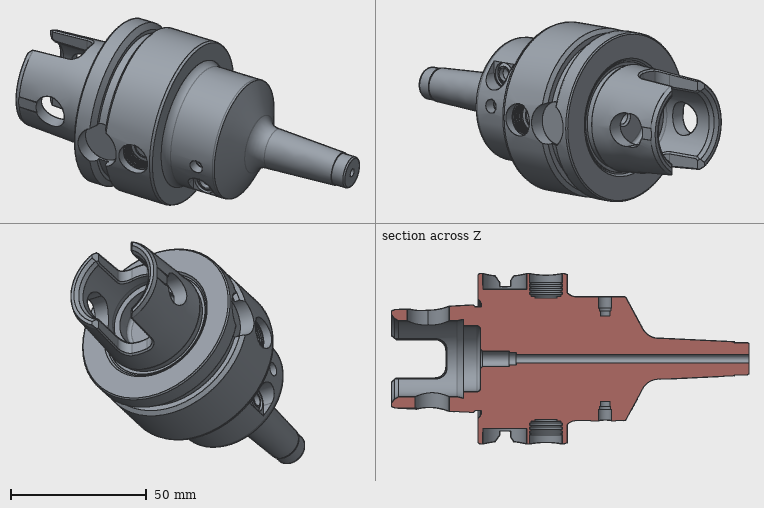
import cadquery as cq
import math

LENGTH = 132.0
FLANGE_RADIUS = 63.0 / 2

SHANK_END_RADIUS = 17.7
SHANK_CHAMFER = 1.7
SHANK_START_RADIUS = 18.3
SHANK_BASE_X = 30.2
SHANK_BASE_RADIUS = 19.9
SHANK_NECK_X = 30.9
SHANK_NECK_RADIUS = 19.3

FLANGE_X = 32.0
FLANGE_END_X = 65.0
FLANGE_CHAMFER = 0.5
FLANGE_END_CHAMFER_X = 1.0
FLANGE_END_CHAMFER_R = 0.4
FACE_GROOVE_DEPTH = 0.8
FACE_GROOVE_RADIUS = 21.3
FACE_RELIEF_DEPTH = 1.2
FACE_RELIEF_RADIUS = 20.6
FACE_GROOVE_RIM_RADIUS = 22.0
GRIP_RADIUS = 27.9
GRIP_START_X = 38.3
GRIP_END_X = 45.1
GRIP_LEFT_BEVEL_X = 1.7
GRIP_LEFT_BEVEL_R = 2.2
GRIP_RIGHT_BEVEL_X = 1.2
GRIP_RIGHT_BEVEL_R = 1.6

BODY_RADIUS = 23.0
BODY_FILLET_RISE = 1.5
BODY_FILLET_LENGTH = 3.2
BODY_END_X = 85.7
BODY_BEVEL_X = 0.8
BODY_BEVEL_R = 0.1

SHOULDER_END_X = 92.8
SHOULDER_END_RADIUS = 11.1
NOSE_START_X = 99.1
NOSE_START_RADIUS = 7.7
NOSE_TIP_X = 126.6
NOSE_END_RADIUS = 6.3
NOSE_TIP_RADIUS = 12.0 / 2
NOSE_CHAMFER_X = 0.7
NOSE_CHAMFER_R = 0.4

BORE_MOUTH_RADIUS = 16.4
BORE_BEVEL_RADIUS = 14.9
BORE_RADIUS = 14.0
BORE_BEVEL_X = 1.0
BORE_START_X = 2.6
UNDERCUT_START_X = 24.3
UNDERCUT_RADIUS = 14.5
BORE_SHOULDER_X = 26.5
POCKET_RADIUS = 12.1
POCKET_FLOOR_X = 32.9
POCKET_CORNER = 1.3

CHANNEL_DIAMETER = 3.0
CHANNEL_THREAD_DIAMETER = 5.5
CHANNEL_THREAD_DEPTH = 10.5
CHANNEL_STEP_DIAMETER = 4.5
CHANNEL_STEP_DEPTH = 13.2
CHANNEL_MOUTH_RADIUS = 3.5

SLOT_HALF_WIDTH = 7.0
SLOT_END_X = 20.0
SLOT_CORNER = 3.8
SLOT_FLARE_X = 1.8
SLOT_FLARE_Y = 1.6
SLOT_OUTER_CHAMFER = 0.7
SLOT_INNER_CHAMFER = 0.5
WALL_TOLERANCE = 1.3

BALL_HOLE_X = 15.0
BALL_HOLE_DIAMETER = 12.5
BALL_HOLE_FAR_SHIFT = 2.9
KEYWAY_WIDTH = 4.5
KEYWAY_FLOOR_Y = 18.2

SEAT_X = 41.8
SEAT_DIAMETER = 16.1
SEAT_FLOOR_Y = 25.7
SIDE_HOLE_X = 57.0
SIDE_HOLE_STEPS = ((12.0, 28.1), (11.0, 23.1), (8.0, 22.5))
SIDE_HOLE_RING_COUNT = 3
SIDE_HOLE_RING_PITCH = 1.5
SIDE_HOLE_RING_WIDTH = 0.8
SIDE_HOLE_RING_DIAMETER = 11.9

SCREW_X = 78.87
SCREW_Z = 12.1
SCREW_POCKET_RADIUS = 5.0
SCREW_POCKET_FLOOR_Y = 15.8
SCREW_HEAD_DIAMETER = 9.0
SCREW_HEAD_TOP_DIAMETER = 6.2
SCREW_HEAD_HEIGHT = 1.3
SCREW_SOCKET_DIAMETER = 5.0
SCREW_SOCKET_DEPTH = 2.1
DRILL_POINT_ANGLE = 118.0
SMALL_HOLE_Z = 1.2
SMALL_HOLE_STEPS = ((5.1, 18.7), (4.6, 17.7), (4.1, 15.8), (2.2, 13.2))


def turned_body():
    """Outer shape as one profile turned about X."""
    blend_radius = (BODY_FILLET_LENGTH**2 + BODY_FILLET_RISE**2) / (2 * BODY_FILLET_RISE)
    profile = (
        cq.Workplane("XY")
        .lineTo(0, SHANK_END_RADIUS)
        .lineTo(SHANK_CHAMFER, SHANK_START_RADIUS)
        .lineTo(SHANK_BASE_X, SHANK_BASE_RADIUS)
        .lineTo(SHANK_NECK_X, SHANK_NECK_RADIUS)
        .lineTo(FLANGE_X + FACE_RELIEF_DEPTH, SHANK_NECK_RADIUS)
        .lineTo(FLANGE_X + FACE_RELIEF_DEPTH, FACE_RELIEF_RADIUS)
        .lineTo(FLANGE_X + FACE_GROOVE_DEPTH, FACE_RELIEF_RADIUS)
        .lineTo(FLANGE_X + FACE_GROOVE_DEPTH, FACE_GROOVE_RADIUS)
        .lineTo(FLANGE_X, FACE_GROOVE_RIM_RADIUS)
        .lineTo(FLANGE_X, FLANGE_RADIUS - FLANGE_CHAMFER)
        .lineTo(FLANGE_X + FLANGE_CHAMFER, FLANGE_RADIUS)
        .lineTo(GRIP_START_X, FLANGE_RADIUS)
        .lineTo(GRIP_START_X + GRIP_LEFT_BEVEL_X, FLANGE_RADIUS - GRIP_LEFT_BEVEL_R)
        .lineTo(GRIP_START_X + GRIP_LEFT_BEVEL_X, GRIP_RADIUS)
        .lineTo(GRIP_END_X - GRIP_RIGHT_BEVEL_X, GRIP_RADIUS)
        .lineTo(GRIP_END_X - GRIP_RIGHT_BEVEL_X, FLANGE_RADIUS - GRIP_RIGHT_BEVEL_R)
        .lineTo(GRIP_END_X, FLANGE_RADIUS)
        .lineTo(FLANGE_END_X - FLANGE_END_CHAMFER_X, FLANGE_RADIUS)
        .lineTo(FLANGE_END_X, FLANGE_RADIUS - FLANGE_END_CHAMFER_R)
        .lineTo(FLANGE_END_X, BODY_RADIUS + BODY_FILLET_RISE)
        .radiusArc((FLANGE_END_X + BODY_FILLET_LENGTH, BODY_RADIUS), -blend_radius)
        .lineTo(BODY_END_X, BODY_RADIUS)
        .lineTo(BODY_END_X + BODY_BEVEL_X, BODY_RADIUS - BODY_BEVEL_R)
        .lineTo(SHOULDER_END_X, SHOULDER_END_RADIUS)
        .tangentArcPoint((NOSE_START_X, NOSE_START_RADIUS), relative=False)
        .lineTo(NOSE_TIP_X, NOSE_END_RADIUS)
        .lineTo(NOSE_TIP_X, NOSE_TIP_RADIUS)
        .lineTo(LENGTH - NOSE_CHAMFER_X, NOSE_TIP_RADIUS)
        .lineTo(LENGTH, NOSE_TIP_RADIUS - NOSE_CHAMFER_R)
        .lineTo(LENGTH, 0)
        .close()
    )
    return profile.revolve(360, (0, 0, 0), (1, 0, 0))


def bore():
    """Stepped bore, threaded coolant entry and the channel through to the nose tip."""
    thread_radius = CHANNEL_THREAD_DIAMETER / 2
    step_radius = CHANNEL_STEP_DIAMETER / 2
    channel_radius = CHANNEL_DIAMETER / 2
    mouth_depth = CHANNEL_MOUTH_RADIUS - thread_radius
    profile = (
        cq.Workplane("XY")
        .lineTo(0, BORE_MOUTH_RADIUS)
        .lineTo(BORE_BEVEL_X, BORE_BEVEL_RADIUS)
        .lineTo(BORE_START_X, BORE_RADIUS)
        .lineTo(UNDERCUT_START_X, BORE_RADIUS)
        .lineTo(BORE_SHOULDER_X, UNDERCUT_RADIUS)
        .lineTo(BORE_SHOULDER_X, POCKET_RADIUS)
        .lineTo(POCKET_FLOOR_X - POCKET_CORNER, POCKET_RADIUS)
        .radiusArc((POCKET_FLOOR_X, POCKET_RADIUS - POCKET_CORNER), POCKET_CORNER)
        .lineTo(POCKET_FLOOR_X, CHANNEL_MOUTH_RADIUS)
        .lineTo(POCKET_FLOOR_X + mouth_depth, thread_radius)
        .lineTo(POCKET_FLOOR_X + CHANNEL_THREAD_DEPTH, thread_radius)
        .lineTo(POCKET_FLOOR_X + CHANNEL_THREAD_DEPTH, step_radius)
        .lineTo(POCKET_FLOOR_X + CHANNEL_STEP_DEPTH, step_radius)
        .lineTo(POCKET_FLOOR_X + CHANNEL_STEP_DEPTH, channel_radius)
        .lineTo(LENGTH, channel_radius)
        .lineTo(LENGTH, 0)
        .close()
    )
    return profile.revolve(360, (0, 0, 0), (1, 0, 0))


def drive_slots():
    """Round-cornered slot crossing both shank walls along Z."""
    blank = cq.Workplane("XY").rect(2 * SLOT_END_X, 2 * SLOT_HALF_WIDTH).extrude(FLANGE_RADIUS, both=True)
    return blank.edges("|Z").fillet(SLOT_CORNER)


def slot_flare():
    """Wedge that bevels the mouth of the drive slots."""
    flare_half_width = SLOT_HALF_WIDTH + SLOT_FLARE_Y
    outline = (
        cq.Workplane("XY")
        .moveTo(0, -flare_half_width)
        .lineTo(SLOT_FLARE_X, -SLOT_HALF_WIDTH)
        .lineTo(SLOT_FLARE_X, SLOT_HALF_WIDTH)
        .lineTo(0, flare_half_width)
        .close()
    )
    return outline.extrude(FLANGE_RADIUS, both=True)


def slot_rim_edges(solid, near_radius):
    """Slot edges lying on the shank wall whose distance from the axis is close to near_radius."""
    edges = []
    for edge in solid.edges().vals():
        middle = edge.positionAt(0.5)
        along = SHANK_CHAMFER < middle.x < SLOT_END_X + SLOT_OUTER_CHAMFER
        across = abs(middle.y) < SLOT_HALF_WIDTH + SLOT_OUTER_CHAMFER
        if along and across and abs(math.hypot(middle.y, middle.z) - near_radius) < WALL_TOLERANCE:
            edges.append(edge)
    return edges


def outward_cylinder(x, z, diameter, floor_y):
    """Cylinder along -Y from floor_y to beyond the flange."""
    plane = cq.Plane((x, -floor_y, z), xDir=(1, 0, 0), normal=(0, -1, 0))
    return cq.Workplane(plane).circle(diameter / 2).extrude(FLANGE_RADIUS)


def keyway():
    """Shallow lengthwise flat from the cross hole to the shank end."""
    flat_plane = cq.Plane((BALL_HOLE_X / 2, -KEYWAY_FLOOR_Y, 0), xDir=(1, 0, 0), normal=(0, -1, 0))
    return cq.Workplane(flat_plane).rect(BALL_HOLE_X, KEYWAY_WIDTH).extrude(FLANGE_RADIUS)


def stepped_hole(x, z, steps):
    """Coaxial cylinders along -Y, each narrower and deeper than the one before."""
    hole = cq.Workplane("XY")
    for diameter, floor_y in steps:
        hole = hole.add(outward_cylinder(x, z, diameter, floor_y))
    return hole.combine()


def side_hole_rings():
    """Thread-like rings in the wall of the stepped side hole."""
    first_floor = SIDE_HOLE_STEPS[0][1]
    rings = cq.Workplane("XY")
    for index in range(SIDE_HOLE_RING_COUNT):
        floor_y = first_floor - (index + 1) * SIDE_HOLE_RING_PITCH
        plane = cq.Plane((SIDE_HOLE_X, -floor_y, 0), xDir=(1, 0, 0), normal=(0, -1, 0))
        ring = cq.Workplane(plane).circle(SIDE_HOLE_RING_DIAMETER / 2).extrude(SIDE_HOLE_RING_WIDTH)
        rings = rings.add(ring)
    return rings.combine()


def screw_pocket():
    """Flat-floored pocket, rounded at the top, with a sunk conical screw head that has a drilled socket."""
    width = 2 * SCREW_POCKET_RADIUS
    floor = cq.Plane((SCREW_X, -SCREW_POCKET_FLOOR_Y, -SCREW_Z), xDir=(1, 0, 0), normal=(0, -1, 0))
    round_top = cq.Workplane(floor).circle(SCREW_POCKET_RADIUS).extrude(FLANGE_RADIUS)
    open_bottom = cq.Workplane(floor).rect(width, width).extrude(FLANGE_RADIUS)
    open_bottom = open_bottom.translate((0, 0, -SCREW_POCKET_RADIUS))

    sunk_floor = floor.origin + cq.Vector(0, SCREW_HEAD_HEIGHT, 0)
    sunk_plane = cq.Plane(sunk_floor, xDir=(1, 0, 0), normal=(0, -1, 0))
    counterbore = cq.Workplane(sunk_plane).circle(SCREW_HEAD_DIAMETER / 2).extrude(SCREW_HEAD_HEIGHT)
    head = (
        cq.Workplane(sunk_plane)
        .circle(SCREW_HEAD_DIAMETER / 2)
        .workplane(offset=SCREW_HEAD_HEIGHT)
        .circle(SCREW_HEAD_TOP_DIAMETER / 2)
        .loft()
    )

    socket_radius = SCREW_SOCKET_DIAMETER / 2
    point_depth = socket_radius / math.tan(math.radians(DRILL_POINT_ANGLE / 2))
    socket = (
        cq.Workplane("XY")
        .moveTo(0, SCREW_SOCKET_DEPTH + point_depth)
        .lineTo(socket_radius, SCREW_SOCKET_DEPTH)
        .lineTo(socket_radius, 0)
        .lineTo(0, 0)
        .close()
        .revolve(360, (0, 0, 0), (0, 1, 0))
        .translate(floor.origin)
    )
    return round_top.union(open_bottom).union(counterbore.cut(head)).union(socket)


def side_features():
    """Everything cut from the -Y side."""
    return (
        outward_cylinder(BALL_HOLE_X, 0, BALL_HOLE_DIAMETER, 0),
        keyway(),
        outward_cylinder(SEAT_X, 0, SEAT_DIAMETER, SEAT_FLOOR_Y),
        stepped_hole(SIDE_HOLE_X, 0, SIDE_HOLE_STEPS),
        side_hole_rings(),
        stepped_hole(SCREW_X, -SMALL_HOLE_Z, SMALL_HOLE_STEPS),
        screw_pocket(),
    )


result = turned_body().cut(bore()).cut(drive_slots())
slot_chamfers = ((SHANK_START_RADIUS, SLOT_OUTER_CHAMFER), (BORE_RADIUS, SLOT_INNER_CHAMFER))
for wall_radius, chamfer in slot_chamfers:
    rim_edges = slot_rim_edges(result, wall_radius)
    result = result.newObject(rim_edges).chamfer(chamfer)
result = result.cut(slot_flare())

far_hole = outward_cylinder(BALL_HOLE_X - BALL_HOLE_FAR_SHIFT, 0, BALL_HOLE_DIAMETER, 0)
result = result.cut(far_hole.mirror("XZ"))

for feature in side_features():
    for angle in (0, 180):
        result = result.cut(feature.rotate((0, 0, 0), (1, 0, 0), angle))